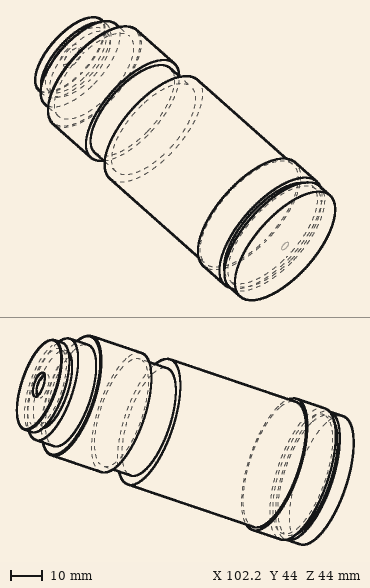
import cadquery as cq
import math

BODY_LENGTH = 102.0
SHOULDER_END = 11.5
NOSE_DIAMETER = 30.0
SLEEVE_DIAMETER = 40.0
BARREL_STEPS = [
    (2.9, NOSE_DIAMETER),
    (5.0, 26.0),
    (SHOULDER_END, 34.0),
    (29.8, SLEEVE_DIAMETER),
    (39.7, 36.0),
    (85.0, 42.0),
    (95.2, 44.0),
    (97.0, 40.0),
    (BODY_LENGTH, 43.0),
]

NOSE_CHAMFER = 0.2
SLEEVE_CHAMFER = 0.3

LENS_RADIUS = 6.0
BORE_DIAMETER = 8.0
REAR_LENS_HEIGHT = 0.19


def disc(start, end, diameter):
    """Cylinder on the X axis between two positions."""
    return cq.Workplane("YZ", origin=(start, 0, 0)).circle(diameter / 2).extrude(end - start)


def revolve_about_x(profile):
    """Turn a closed XY profile, drawn with Y as radius, about the X axis."""
    return profile.revolve(360, (0, 0, 0), (1, 0, 0))


def barrel():
    """Stepped outline turned about the X axis."""
    outline = cq.Workplane("XY").moveTo(0, 0)
    start = 0.0
    for end, diameter in BARREL_STEPS:
        outline = outline.lineTo(start, diameter / 2).lineTo(end, diameter / 2)
        start = end
    return revolve_about_x(outline.lineTo(BODY_LENGTH, 0).close())


def rim_chamfer(position, diameter, size):
    """Ring of waste that bevels the rim of a step face looking toward -X."""
    radius = diameter / 2
    corners = [(position, radius - size), (position, radius), (position + size, radius)]
    return revolve_about_x(cq.Workplane("XY").polyline(corners).close())


def lens_ball(tip):
    """Sphere whose -X pole lies at the given position."""
    return cq.Workplane("XY").sphere(LENS_RADIUS).translate((tip + LENS_RADIUS, 0, 0))


def nose_bore():
    """Shallow bore whose floor is a lens bulging up to the nose face."""
    bore_radius = BORE_DIAMETER / 2
    rim_depth = LENS_RADIUS - math.sqrt(LENS_RADIUS**2 - bore_radius**2)
    return disc(0, rim_depth, BORE_DIAMETER).cut(lens_ball(0))


def rear_lens():
    """Low spherical cap standing on the rear face."""
    rim_radius = math.sqrt(LENS_RADIUS**2 - (LENS_RADIUS - REAR_LENS_HEIGHT) ** 2)
    profile = (
        cq.Workplane("XY")
        .moveTo(BODY_LENGTH, 0)
        .lineTo(BODY_LENGTH, rim_radius)
        .radiusArc((BODY_LENGTH + REAR_LENS_HEIGHT, 0), LENS_RADIUS)
        .close()
    )
    return revolve_about_x(profile)


result = (
    barrel()
    .cut(rim_chamfer(0, NOSE_DIAMETER, NOSE_CHAMFER))
    .cut(rim_chamfer(SHOULDER_END, SLEEVE_DIAMETER, SLEEVE_CHAMFER))
    .cut(nose_bore())
    .union(rear_lens())
)